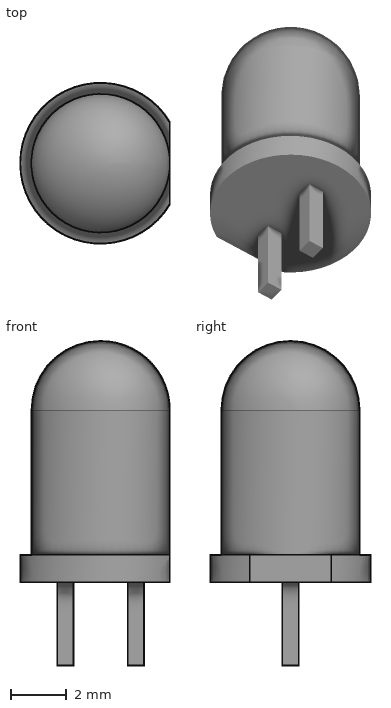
import cadquery as cq

total_height = 11.7
lens_diameter = 5.0
flange_diameter = 5.8
flange_height = 1.0
lead_length = 3.0
lead_width = 0.6
lead_spacing = 2.54

lens_radius = lens_diameter / 2
flange_radius = flange_diameter / 2
lens_top = total_height - lead_length
dome_base = lens_top - lens_radius


def make_lens():
    """Cylindrical lens with a hemispherical dome, standing on the flange base plane."""
    barrel = cq.Workplane("XY").circle(lens_radius).extrude(dome_base)
    dome = (
        cq.Workplane("XZ")
        .moveTo(0, dome_base)
        .lineTo(lens_radius, dome_base)
        .radiusArc((0, lens_top), -lens_radius)
        .close()
        .revolve(360, (0, 0, 0), (0, 1, 0))
    )
    return barrel.union(dome)


def make_flange():
    """Round flange cut flat on the +X side, with the flat tangent to the lens."""
    disc = cq.Workplane("XY").circle(flange_radius).extrude(flange_height)
    kept_length = flange_radius + lens_radius
    kept_block = cq.Workplane("XY").box(
        kept_length, flange_diameter, flange_height, centered=(False, True, False)
    ).translate((-flange_radius, 0, 0))
    return disc.intersect(kept_block)


def make_leads():
    """Two square leads hanging below the flange, spaced along X."""
    return (
        cq.Workplane("XY")
        .pushPoints([(-lead_spacing / 2, 0), (lead_spacing / 2, 0)])
        .rect(lead_width, lead_width)
        .extrude(-lead_length)
    )


result = make_flange().union(make_lens()).union(make_leads())